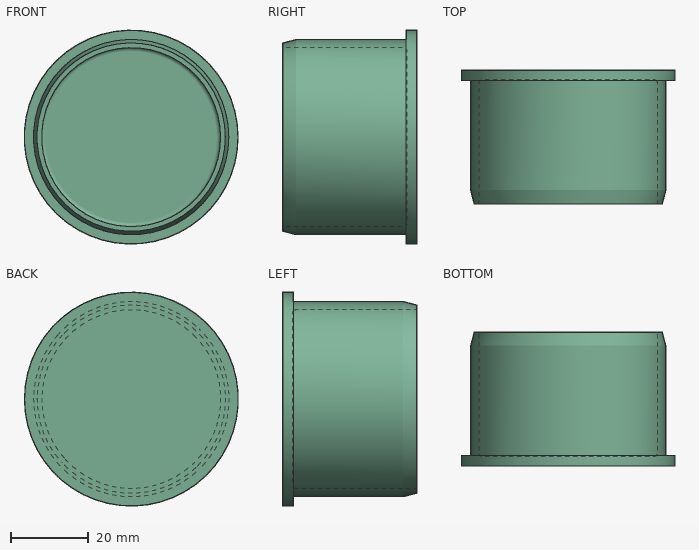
import cadquery as cq

flange_diameter = 55.0
flange_thickness = 2.75
body_diameter = 50.2
tip_diameter = 48.4
bore_diameter = 46.0
total_length = 34.5
tip_taper_length = 3.5
floor_thickness = 2.5
floor_fillet = 1.0

tip_y = -total_length / 2
closed_y = total_length / 2
taper_start_y = tip_y + tip_taper_length
flange_y = closed_y - flange_thickness
floor_y = closed_y - floor_thickness

flange_radius = flange_diameter / 2
body_radius = body_diameter / 2
tip_radius = tip_diameter / 2
bore_radius = bore_diameter / 2


def make_cap():
    """Revolve the wall, floor and flange section around the Y axis."""
    fillet_center_x = bore_radius - floor_fillet
    fillet_center_y = floor_y - floor_fillet
    diagonal = floor_fillet / 2**0.5
    fillet_middle = (fillet_center_x + diagonal, fillet_center_y + diagonal)

    section = (
        cq.Workplane("XY")
        .moveTo(0, closed_y)
        .lineTo(flange_radius, closed_y)
        .lineTo(flange_radius, flange_y)
        .lineTo(body_radius, flange_y)
        .lineTo(body_radius, taper_start_y)
        .lineTo(tip_radius, tip_y)
        .lineTo(bore_radius, tip_y)
        .lineTo(bore_radius, fillet_center_y)
        .threePointArc(fillet_middle, (fillet_center_x, floor_y))
        .lineTo(0, floor_y)
        .close()
    )
    return section.revolve(360, (0, 0, 0), (0, 1, 0))


result = make_cap()